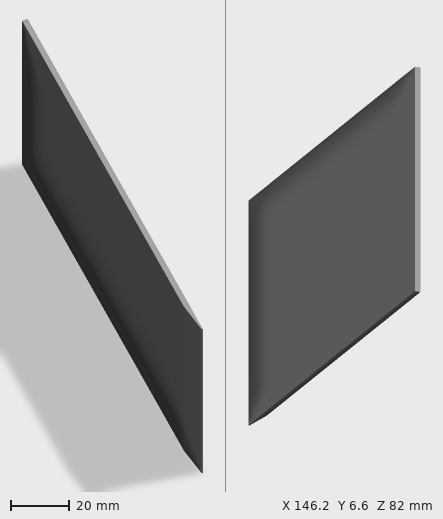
import cadquery as cq

length = 146.2
depth = 6.6
height = 82.0
butt_thickness = 2.0
bevel_start = 134.8
tip_back = 1.6
tip_front = 1.2

profile = [
    (0, depth),
    (0, depth - butt_thickness),
    (bevel_start, 0),
    (length, tip_front),
    (length, tip_back),
]

result = (
    cq.Workplane("XY")
    .polyline(profile)
    .close()
    .extrude(height)
    .translate((-length / 2, -depth / 2, -height / 2))
)